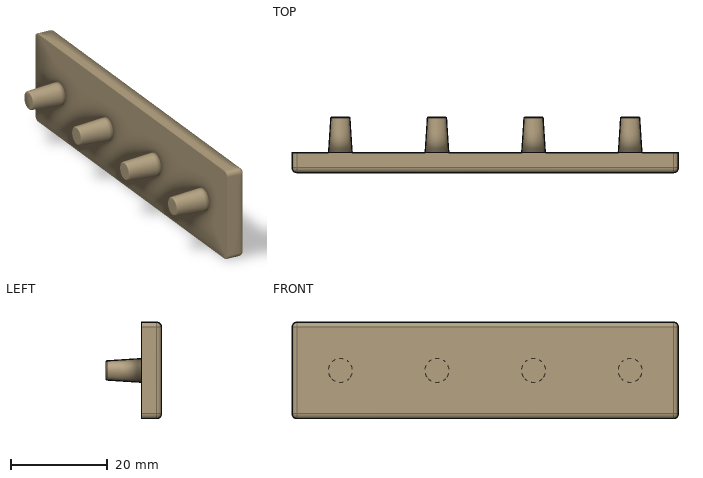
import cadquery as cq

length = 80.0
height = 20.0
depth = 11.5
plate_thickness = 4.2
edge_radius = 1.0

peg_count = 4
peg_pitch = length / peg_count
peg_base_diameter = 5.0
peg_tip_diameter = 4.0
peg_tip_fillet = 0.3
peg_length = depth - plate_thickness


def make_plate():
    """Plate with its back face on Y = 0, rounded at the corners and around the front face."""
    block = cq.Workplane("XY").box(length, plate_thickness, height)
    block = block.translate((0, -plate_thickness / 2, 0))
    return block.edges("|Y or <Y").fillet(edge_radius)


def make_peg(x):
    """Conical peg standing on the back face, with a rounded tip."""
    cone = cq.Solid.makeCone(
        peg_base_diameter / 2,
        peg_tip_diameter / 2,
        peg_length,
        pnt=cq.Vector(x, 0, 0),
        dir=cq.Vector(0, 1, 0),
    )
    return cq.Workplane(cone).edges(">Y").fillet(peg_tip_fillet)


result = make_plate()
for index in range(peg_count):
    peg_x = (index - (peg_count - 1) / 2) * peg_pitch
    result = result.union(make_peg(peg_x))